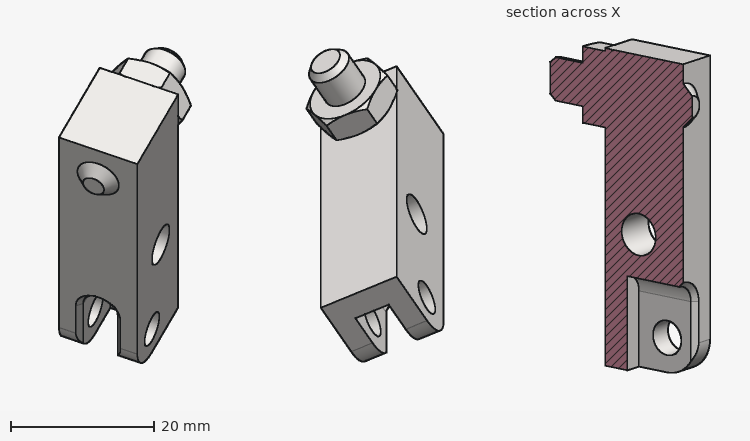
import cadquery as cq
import math

block_width = 12.0
block_depth = 14.0
block_height = 46.0
corner_radius = 5.0

pivot_diameter = 5.0
upper_hole_diameter = 6.0
upper_hole_y = 8.0
upper_hole_z = 20.0

slot_width = 5.25
slot_arc_z = 11.0
slot_depth = 2 * corner_radius
slot_chamfer = 0.8

stud_z = 40.0
stud_diameter = 6.35
tip_length = 1.55
stud_rear_length = 9.85
rear_chamfer_length = 1.0
rear_chamfer_radial = 0.87

nut_corner_diameter = 12.85
nut_thickness = 4.0
nut_chamfer_angle = math.radians(30)


def cross_hole(diameter, y, z):
    """Cylinder along X through the full block width."""
    return (
        cq.Workplane("YZ")
        .center(y, z)
        .circle(diameter / 2)
        .extrude(block_width, both=True)
    )


def slot_outline(half_width):
    """Round-topped slot profile on the front face, reaching below the block."""
    bottom_z = -corner_radius
    return (
        cq.Workplane("XZ")
        .moveTo(-half_width, bottom_z)
        .lineTo(-half_width, slot_arc_z)
        .threePointArc((0, slot_arc_z + half_width), (half_width, slot_arc_z))
        .lineTo(half_width, bottom_z)
        .close()
    )


def slot_cutter():
    """Straight slot plus the 45 degree flare at its front rim."""
    half_width = slot_width / 2
    straight = slot_outline(half_width).extrude(-slot_depth)
    flare = slot_outline(half_width + slot_chamfer).extrude(-slot_chamfer, taper=45)
    return straight.union(flare)


def block():
    body = cq.Workplane("XY").box(
        block_width, block_depth, block_height, centered=(True, False, False)
    )
    body = body.edges("|X and <Y and <Z").fillet(corner_radius)
    body = body.cut(slot_cutter())
    body = body.cut(cross_hole(pivot_diameter, corner_radius, corner_radius))
    return body.cut(cross_hole(upper_hole_diameter, upper_hole_y, upper_hole_z))


def revolve_about_stud(profile):
    """Revolve a (radius, Y) profile about the stud axis."""
    return (
        cq.Workplane("XY", origin=(0, 0, stud_z))
        .polyline(profile)
        .close()
        .revolve(360, (0, 0, 0), (0, 1, 0))
    )


def stud():
    radius = stud_diameter / 2
    rear_y = block_depth + stud_rear_length
    return revolve_about_stud([
        (0, -tip_length),
        (radius - tip_length, -tip_length),
        (radius, 0),
        (radius, rear_y - rear_chamfer_length),
        (radius - rear_chamfer_radial, rear_y),
        (0, rear_y),
    ])


def nut():
    """Hexagon whose corners are turned down by a cone at both ends."""
    outer_radius = nut_corner_diameter / 2
    flat_radius = outer_radius * math.cos(math.pi / 6)
    chamfer_length = (outer_radius - flat_radius) * math.tan(nut_chamfer_angle)
    front_y = block_depth
    rear_y = front_y + nut_thickness
    hexagon = (
        cq.Workplane("XZ", origin=(0, front_y, stud_z))
        .polygon(6, nut_corner_diameter)
        .extrude(-nut_thickness)
    )
    turned_envelope = revolve_about_stud([
        (0, front_y),
        (flat_radius, front_y),
        (outer_radius, front_y + chamfer_length),
        (outer_radius, rear_y - chamfer_length),
        (flat_radius, rear_y),
        (0, rear_y),
    ])
    return hexagon.intersect(turned_envelope)


result = block().union(stud()).union(nut())